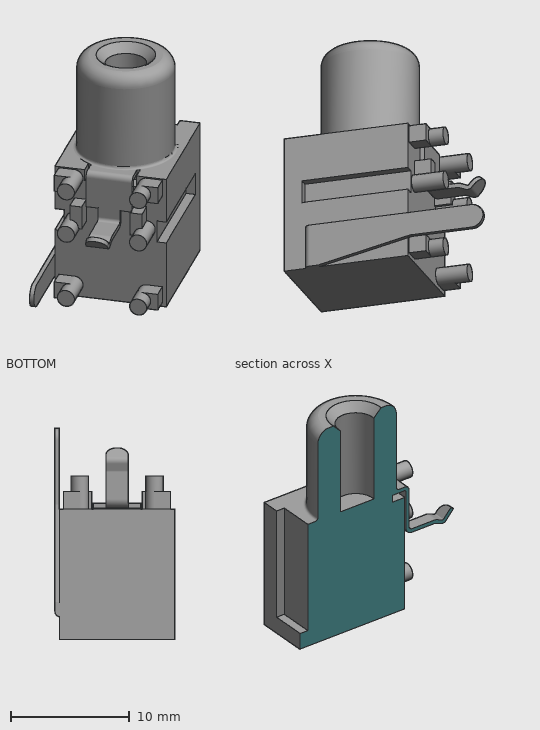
import cadquery as cq
import math

OVERLAP = 0.2

BODY_WIDTH = 9.7
BODY_HEIGHT = 12.0
BODY_BACK = 6.0
BODY_FRONT = -4.99
RECESS_DEPTH = 0.8
SLOT_END_WALL = 1.57
SLOT_HEIGHT = 1.97
SLOT_BOTTOM = 6.02
BACK_RECESS_WIDTH = 6.19

BARREL_DIAMETER = 8.3
RIM_DIAMETER = 6.3
TOTAL_HEIGHT = 20.7
RIM_ROUND = 1.2
BARREL_FOOT_ROUND = 0.25
BORE_DIAMETER = 3.5
BORE_MOUTH_DIAMETER = 5.0
BORE_CHAMFER = (BORE_MOUTH_DIAMETER - BORE_DIAMETER) / 2

PEG_DIAMETER = 1.5
PEG_LENGTH = 2.8
PEG_X = 3.15
BOTTOM_PEG_Z = 1.12
MIDDLE_PEG_Z = 7.16
TOP_PEG_Z = 11.15
LUG_LENGTH = 1.5
LUG_OUTER_X = 4.51
MIDDLE_LUG_INNER_X = 2.11
MIDDLE_LUG_TOP = 9.23

SHEET = 0.4
BEND_RADIUS = 0.5
TIGHT_BEND = BEND_RADIUS - SHEET / 2
WIDE_BEND = 0.5

STRIP_WIDTH = 4.02
STRIP_STEP_Z = 8.8
STRIP_Y = BODY_FRONT - BEND_RADIUS + SHEET / 2
STRIP_TOP_Z = BODY_HEIGHT - SHEET / 2
STRIP_START_Y = -3.52
PIN_WIDTH = 1.9
PIN_END_ROUND = 0.93
PIN_Z = 7.45
PIN_KNEE_Y = -8.2
PIN_VALLEY = (-9.07, 7.1)
PIN_TIP = (-10.0, 8.15)
CHANNEL_WIDTH = 4.51
CHANNEL_DEPTH = 1.01
CHANNEL_BACK = -3.73

TAB_TOP = 3.73
TAB_WIDTH = 2.05
TAB_TIP = -11.8
TAB_TAPER_FRONT = -5.35
TAB_TAPER_BACK = 2.85
TAB_BEND_Y = 3.6


def box(x_range, y_range, z_range):
    """Block between two X, two Y and two Z values."""
    size = [end - start for start, end in (x_range, y_range, z_range)]
    corner = (x_range[0], y_range[0], z_range[0])
    return cq.Workplane("XY").box(*size, centered=False).translate(corner)


def make_housing():
    half_width = BODY_WIDTH / 2
    housing = box((-half_width, half_width), (BODY_FRONT, BODY_BACK), (0, BODY_HEIGHT))
    slot_y = (BODY_FRONT, BODY_BACK - SLOT_END_WALL)
    slot_z = (SLOT_BOTTOM, SLOT_BOTTOM + SLOT_HEIGHT)
    slot = box((half_width - RECESS_DEPTH, half_width), slot_y, slot_z)
    back_recess = box(
        (-BACK_RECESS_WIDTH / 2, BACK_RECESS_WIDTH / 2),
        (BODY_BACK - RECESS_DEPTH, BODY_BACK),
        (SLOT_END_WALL, BODY_HEIGHT),
    )
    channel = box(
        (-CHANNEL_WIDTH / 2, CHANNEL_WIDTH / 2),
        (BODY_FRONT, CHANNEL_BACK),
        (BODY_HEIGHT - CHANNEL_DEPTH, BODY_HEIGHT),
    )
    return housing.cut(slot).cut(slot.mirror("YZ")).cut(back_recess).cut(channel)


def make_barrel():
    """Barrel on a flange of sheet thickness, flush with the top of the housing."""
    barrel_radius = BARREL_DIAMETER / 2
    rim_radius = RIM_DIAMETER / 2
    round_centre_radius = barrel_radius - RIM_ROUND
    round_centre_z = TOTAL_HEIGHT - math.sqrt(RIM_ROUND**2 - (rim_radius - round_centre_radius) ** 2)
    flange_radius = barrel_radius + BARREL_FOOT_ROUND
    foot_top = BODY_HEIGHT + BARREL_FOOT_ROUND
    diagonal = math.sqrt(0.5)
    return (
        cq.Workplane("XZ")
        .moveTo(0, BODY_HEIGHT - SHEET)
        .lineTo(flange_radius, BODY_HEIGHT - SHEET)
        .lineTo(flange_radius, BODY_HEIGHT)
        .threePointArc(
            (flange_radius - BARREL_FOOT_ROUND * diagonal, foot_top - BARREL_FOOT_ROUND * diagonal),
            (barrel_radius, foot_top),
        )
        .lineTo(barrel_radius, round_centre_z)
        .threePointArc(
            (round_centre_radius + RIM_ROUND * diagonal, round_centre_z + RIM_ROUND * diagonal),
            (rim_radius, TOTAL_HEIGHT),
        )
        .lineTo(BORE_MOUTH_DIAMETER / 2, TOTAL_HEIGHT)
        .lineTo(BORE_DIAMETER / 2, TOTAL_HEIGHT - BORE_CHAMFER)
        .lineTo(BORE_DIAMETER / 2, BODY_HEIGHT)
        .lineTo(0, BODY_HEIGHT)
        .close()
        .revolve(360, (0, 0), (0, 1))
    )


def make_pegs():
    """The three pegs and lugs on the +X side, and their mirror images."""
    peg_centres = [(PEG_X, z) for z in (BOTTOM_PEG_Z, MIDDLE_PEG_Z, TOP_PEG_Z)]
    pegs = (
        cq.Workplane("XZ", origin=(0, BODY_FRONT + OVERLAP, 0))
        .pushPoints(peg_centres)
        .circle(PEG_DIAMETER / 2)
        .extrude(PEG_LENGTH + OVERLAP)
    )
    lug_y = (BODY_FRONT - LUG_LENGTH, BODY_FRONT + OVERLAP)
    for z in (BOTTOM_PEG_Z, TOP_PEG_Z):
        lug_z = (z - PEG_DIAMETER / 2, z + PEG_DIAMETER / 2)
        pegs = pegs.union(box((PEG_X, LUG_OUTER_X), lug_y, lug_z))
    middle_lug = box((MIDDLE_LUG_INNER_X, PEG_X), lug_y, (MIDDLE_PEG_Z, MIDDLE_LUG_TOP))
    pegs = pegs.union(middle_lug)
    return pegs.union(pegs.mirror("YZ"))


def bent_sheet(points, bend_radii, width):
    """Strip along a (Y, Z) line, rounded at each inner point, centred on X = 0."""
    path = cq.Workplane("YZ").moveTo(*points[0])
    for before, corner, after, radius in zip(points, points[1:], points[2:], bend_radii):
        corner_vector = cq.Vector(*corner)
        back = (cq.Vector(*before) - corner_vector).normalized()
        ahead = (cq.Vector(*after) - corner_vector).normalized()
        half_angle = back.getAngle(ahead) / 2
        setback = radius / math.tan(half_angle)
        to_arc = radius / math.sin(half_angle) - radius
        middle = corner_vector + (back + ahead).normalized() * to_arc
        start = corner_vector + back * setback
        end = corner_vector + ahead * setback
        path = path.lineTo(start.x, start.y)
        path = path.threePointArc((middle.x, middle.y), (end.x, end.y))
    path = path.lineTo(*points[-1])
    along = cq.Vector(*points[1]) - cq.Vector(*points[0])
    section = cq.Plane(
        origin=(0, *points[0]),
        xDir=(1, 0, 0),
        normal=(0, along.x, along.y),
    )
    return cq.Workplane(section).rect(width, SHEET).sweep(path)


def make_ground_strip():
    strip = bent_sheet(
        [(STRIP_START_Y, STRIP_TOP_Z), (STRIP_Y, STRIP_TOP_Z), (STRIP_Y, STRIP_STEP_Z)],
        [TIGHT_BEND],
        STRIP_WIDTH,
    )
    pin = bent_sheet(
        [
            (STRIP_Y, STRIP_STEP_Z + OVERLAP),
            (STRIP_Y, PIN_Z),
            (PIN_KNEE_Y, PIN_Z),
            PIN_VALLEY,
            PIN_TIP,
        ],
        [WIDE_BEND, WIDE_BEND, TIGHT_BEND],
        PIN_WIDTH,
    )
    tip_direction = (0, PIN_TIP[0] - PIN_VALLEY[0], PIN_TIP[1] - PIN_VALLEY[1])
    end_face = cq.selectors.DirectionMinMaxSelector(cq.Vector(*tip_direction), True)
    pin = pin.faces(end_face).edges("not |X").fillet(PIN_END_ROUND)
    return strip.union(pin)


def make_side_tab():
    """Flat tab on the -X side, with its back end bent into the housing."""
    inner_x = -BODY_WIDTH / 2
    outer_x = inner_x - SHEET
    tab_bottom = TAB_TOP - TAB_WIDTH
    tip_centre_y = TAB_TIP + TAB_WIDTH / 2
    plate = (
        cq.Workplane("YZ", origin=(outer_x, 0, 0))
        .moveTo(TAB_BEND_Y, 0)
        .lineTo(TAB_TAPER_BACK, 0)
        .lineTo(TAB_TAPER_FRONT, tab_bottom)
        .lineTo(tip_centre_y, tab_bottom)
        .threePointArc((TAB_TIP, tab_bottom + TAB_WIDTH / 2), (tip_centre_y, TAB_TOP))
        .lineTo(TAB_BEND_Y, TAB_TOP)
        .close()
        .extrude(SHEET)
    )
    bend = (
        cq.Workplane("XY")
        .center(outer_x + BEND_RADIUS, TAB_BEND_Y)
        .circle(BEND_RADIUS)
        .extrude(TAB_TOP)
    )
    return plate.union(bend)


result = (
    make_housing()
    .union(make_barrel())
    .union(make_pegs())
    .union(make_ground_strip())
    .union(make_side_tab())
)